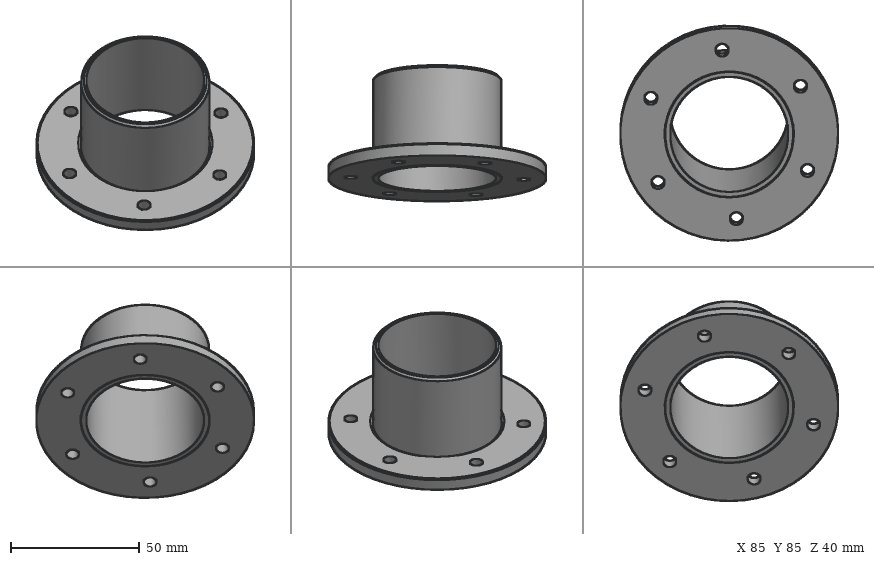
import cadquery as cq

flange_diameter = 85.0
flange_thickness = 5.0
flange_edge_chamfer = 0.5

bolt_hole_count = 6
bolt_hole_diameter = 5.0
bolt_circle_diameter = 67.6
first_bolt_angle = 90.0

tube_outer_diameter = 50.0
tube_inner_diameter = 46.0
tube_height = 40.0
tube_end_chamfer = 1.0

radial_clearance = 0.2
bore_diameter = tube_outer_diameter + 2 * radial_clearance
bore_chamfer = 1.0


def ring(outer_diameter, inner_diameter, height):
    """Upright ring standing on the XY plane."""
    return (
        cq.Workplane("XY")
        .circle(outer_diameter / 2)
        .circle(inner_diameter / 2)
        .extrude(height)
    )


def make_flange():
    """Flange ring with a chamfered rim, a countersunk bore and bolt holes."""
    flange = ring(flange_diameter, bore_diameter, flange_thickness)
    flange = flange.faces(">Z").edges(cq.selectors.RadiusNthSelector(-1)).chamfer(flange_edge_chamfer)
    flange = flange.faces(">Z").edges(cq.selectors.RadiusNthSelector(0)).chamfer(bore_chamfer)
    bolt_holes = (
        cq.Workplane("XY")
        .polarArray(bolt_circle_diameter / 2, first_bolt_angle, 360, bolt_hole_count)
        .circle(bolt_hole_diameter / 2)
        .extrude(flange_thickness)
    )
    return flange.cut(bolt_holes)


def make_tube():
    """Straight tube with its upper outer edge chamfered."""
    tube = ring(tube_outer_diameter, tube_inner_diameter, tube_height)
    return tube.faces(">Z").edges(cq.selectors.RadiusNthSelector(-1)).chamfer(tube_end_chamfer)


flange = make_flange()
tube = make_tube()

result = cq.Compound.makeCompound([flange.solids().val(), tube.solids().val()])